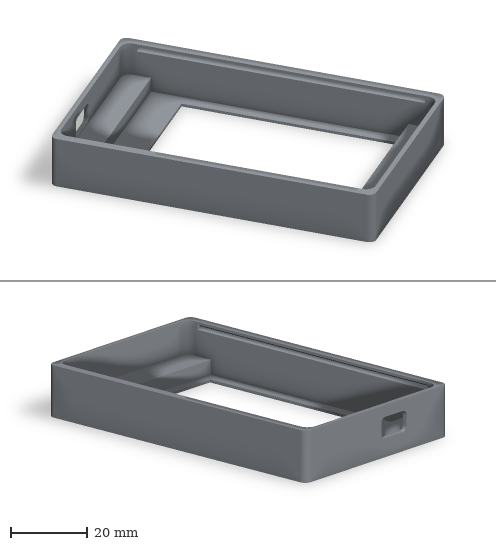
import cadquery as cq
import math

length = 90.0
width = 56.1
height = 14.3
outer_radius = 2.0

end_wall = 1.35
side_wall = 2.4
floor_thickness = 0.8
cavity_radius = 2.6
cavity_width = width - 2 * side_wall

left_shelf_reach = 8.9
right_shelf_reach = 9.5
shelf_top = 4.95

window_left_margin = 18.5
window_right_margin = 12.1
window_side_margin = 5.8

port_width = 10.0
port_height = 5.85
port_radius = 1.4
port_center_y = -6.75
port_center_z = 8.1

groove_length = 80.0
groove_half_height = 0.7
groove_depth = groove_half_height * math.sqrt(3)
groove_center_z = 12.9


def upright_block(x_min, x_max, block_width, z_min, z_max):
    """Box centred on Y, spanning the given X and Z limits."""
    return (
        cq.Workplane("XY")
        .box(x_max - x_min, block_width, z_max - z_min, centered=(False, True, False))
        .translate((x_min, 0, z_min))
    )


left_end = -length / 2
right_end = length / 2

body = upright_block(left_end, right_end, width, 0, height).edges("|Z").fillet(outer_radius)

upper_cavity = (
    upright_block(left_end + end_wall, right_end - end_wall, cavity_width, shelf_top, height)
    .edges("|Z")
    .fillet(cavity_radius)
)
lower_cavity = upright_block(
    left_end + left_shelf_reach,
    right_end - right_shelf_reach,
    cavity_width,
    floor_thickness,
    shelf_top,
)
body = body.cut(upper_cavity).cut(lower_cavity)

window = upright_block(
    left_end + window_left_margin,
    right_end - window_right_margin,
    width - 2 * window_side_margin,
    0,
    floor_thickness,
)
body = body.cut(window)

for side in (-1, 1):
    wall_face = side * cavity_width / 2
    groove = (
        cq.Workplane("YZ")
        .moveTo(wall_face, groove_center_z - groove_half_height)
        .lineTo(wall_face + side * groove_depth, groove_center_z)
        .lineTo(wall_face, groove_center_z + groove_half_height)
        .close()
        .extrude(groove_length / 2, both=True)
    )
    body = body.cut(groove)

port = (
    cq.Workplane("XY")
    .box(end_wall, port_width, port_height)
    .edges("|X")
    .fillet(port_radius)
    .translate((left_end + end_wall / 2, port_center_y, port_center_z))
)
result = body.cut(port)